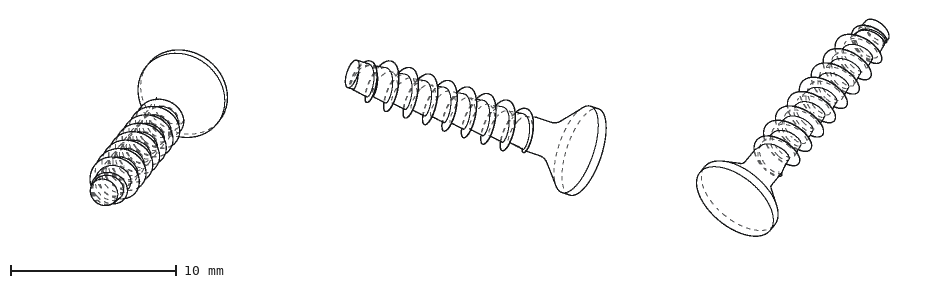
import cadquery as cq
import math


length = 16.0
head_radius = 5.5 / 2
rim_depth = 0.55
shank_radius = 1.07
shank_end_depth = 3.72
neck_radius = 1.15
countersink_angle = math.radians(45)

core_radius = 0.855
valley_radius = 0.885
shoulder_radius = 1.02
lead_cone_length = 0.73
tip_dish_radius = 0.75
tip_dish_depth = 0.06

swelling_start_offset = -0.05
shoulder_offset = 0.17
valley_offset = 1.13
swelling_end_offset = 1.15

pitch = 1.34
crest_radius = 1.5
crest_width = 0.03
flank_angle = math.radians(18.5)
buried_radius = 0.55
first_crest_depth = 3.92
run_in_radius = 1.19
run_in_end_depth = 4.90
run_out_depth = 14.05
run_out_slope = 0.36
swell_fade_depth = 14.6
swell_fade_end_depth = 15.3
sink_slope = 0.1

samples_per_turn = 16
swelling_start_turn = -1.0
ridge_start_turn = -0.5
thread_end_turn = 9.0


def helix_point(turn, offset, radius):
    """Point at an axial offset from the crest line of a right-handed thread."""
    angle = 2 * math.pi * turn
    depth = first_crest_depth + pitch * turn + offset
    return cq.Vector(radius * math.sin(angle), -depth, -radius * math.cos(angle))


def helical_solid(section, first_turn, last_turn):
    """Solid swept along the thread; section(depth) lists its (offset, radius) corners."""
    count = round((last_turn - first_turn) * samples_per_turn)
    turns = [first_turn + i / samples_per_turn for i in range(count + 1)]
    sections = [section(first_crest_depth + pitch * turn) for turn in turns]
    rails = []
    for corner in range(len(sections[0])):
        points = [helix_point(turn, *corners[corner]) for turn, corners in zip(turns, sections)]
        rails.append(cq.Edge.makeSpline(points, parameters=turns))
    neighbours = rails[1:] + rails[:1]
    faces = [cq.Face.makeRuledSurface(a, b) for a, b in zip(rails, neighbours)]
    for end in (0, -1):
        corners = [helix_point(turns[end], *corner) for corner in sections[end]]
        for second, third in zip(corners[1:], corners[2:]):
            triangle = cq.Wire.makePolygon([corners[0], second, third], close=True)
            faces.append(cq.Face.makeFromWires(triangle))
    return cq.Workplane(cq.Solid.makeSolid(cq.Shell.makeShell(faces)).fix())


def crest_radius_at(depth):
    """Crest radius, lower where the thread runs in and runs out."""
    run_in_slope = (crest_radius - run_in_radius) / (run_in_end_depth - shank_end_depth)
    run_in = crest_radius - run_in_slope * (run_in_end_depth - depth)
    run_out = crest_radius - run_out_slope * (depth - run_out_depth)
    return min(crest_radius, run_in, run_out)


def ridge_section(depth):
    crest = crest_radius_at(depth)
    half_crest = crest_width / 2
    half_root = half_crest + (crest - buried_radius) * math.tan(flank_angle)
    return [
        (-half_root, buried_radius),
        (-half_crest, crest),
        (half_crest, crest),
        (half_root, buried_radius),
    ]


def core_section(depth):
    """Swelling that slopes from the shoulder behind the ridge down to the next valley."""
    fade = (depth - swell_fade_depth) / (swell_fade_end_depth - swell_fade_depth)
    swell = (shoulder_radius - valley_radius) * (1 - min(1, max(0, fade)))
    valley = valley_radius - sink_slope * max(0, depth - swell_fade_end_depth)
    shoulder = valley + swell
    return [
        (swelling_start_offset, buried_radius),
        (0, shoulder),
        (shoulder_offset, shoulder),
        (valley_offset, valley),
        (swelling_end_offset, buried_radius),
    ]


def make_body():
    """Head, neck, shank and plain core as one turned body."""
    neck_end_depth = (
        rim_depth
        + (head_radius - shank_radius - neck_radius * (1 - math.cos(countersink_angle)))
        / math.tan(countersink_angle)
        + neck_radius * math.sin(countersink_angle)
    )

    def neck_point(angle):
        return (
            shank_radius + neck_radius * (1 - math.cos(angle)),
            neck_radius * math.sin(angle) - neck_end_depth,
        )

    return (
        cq.Workplane("XY")
        .lineTo(head_radius, 0)
        .lineTo(head_radius, -rim_depth)
        .lineTo(*neck_point(countersink_angle))
        .threePointArc(neck_point(countersink_angle / 2), (shank_radius, -neck_end_depth))
        .lineTo(shank_radius, -shank_end_depth)
        .lineTo(valley_radius, -shank_end_depth - lead_cone_length)
        .lineTo(core_radius, -length)
        .lineTo(0, -length)
        .close()
        .revolve(360, (0, 0, 0), (0, 1, 0))
    )


def make_thread():
    """Core swelling and ridge, trimmed to the threaded length."""
    thread_zone = (
        cq.Workplane("XZ")
        .workplane(offset=shank_end_depth)
        .circle(head_radius)
        .extrude(length - shank_end_depth)
    )
    swelling = helical_solid(core_section, swelling_start_turn, thread_end_turn)
    ridge = helical_solid(ridge_section, ridge_start_turn, thread_end_turn)
    return swelling.intersect(thread_zone), ridge.intersect(thread_zone)


def make_tip_dish():
    """Ball that leaves a shallow dish of the given rim radius and depth in the tip face."""
    ball_radius = (tip_dish_radius**2 + tip_dish_depth**2) / (2 * tip_dish_depth)
    ball_depth = length - tip_dish_depth + ball_radius
    return cq.Workplane("XY").sphere(ball_radius).translate((0, -ball_depth, 0))


core_swelling, thread_ridge = make_thread()
screw = make_body().union(core_swelling, clean=False).union(thread_ridge, clean=False)
result = screw.cut(make_tip_dish(), clean=False)